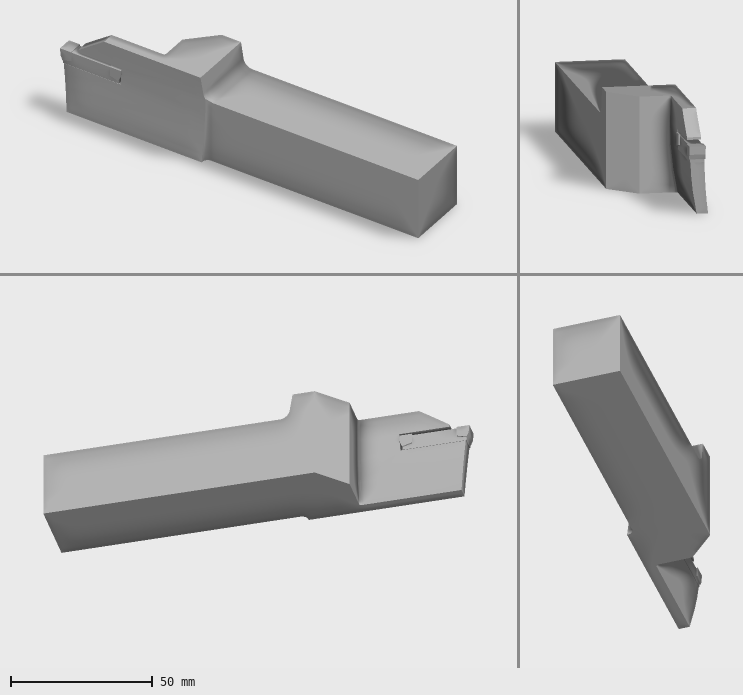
import cadquery as cq
import math

length = 150.0
shank_size = 25.0

head_height = 35.0
toe_x = 3.8
seat_front_x = 1.5
jaw_tip_x = 7.4
jaw_tip_height = 26.8
jaw_top_x = 18.6
head_top_end_x = 59.1
end_wall_lean = 9.0
top_blend_radius = 3.8
side_blend_radius = 2.2
side_blend_end_x = 62.8

cutting_height = shank_size
blade_front_y = -0.9
blade_back_y = 4.2
head_bottom_y = -2.7
blade_back_radius = 112.5
root_x = 41.0
root_chamfer = 10.0
root_fillet = 0.9

seat_height = 19.0
slot_height = 26.0
slot_end_top_x = 25.8
slot_end_bottom_x = 25.4

insert_top_end_x = 25.6
insert_nose_land_setback = 0.3
insert_nose_land_bottom = 22.0
insert_nose_setback = 1.0
insert_seat_setback = 1.2
insert_top_step = 0.3
insert_head_length = 4.6
insert_head_side = 21.3
insert_head_bottom = 20.2
insert_front_y = -1.2
insert_back_y = 4.6

margin = 7.5


def prism_along_y(points, y_start, y_end):
    """Extrude an XZ outline from y_start to y_end."""
    return (
        cq.Workplane("XZ", origin=(0, y_start, 0))
        .polyline(points).close()
        .extrude(-(y_end - y_start))
    )


def arc_offset(radius, height):
    """Distance the blade arc falls toward -Y at the given height."""
    rise = height - cutting_height
    return radius - math.sqrt(radius**2 - rise**2)


def make_head_block():
    """Side outline of the head, blended down onto the top of the shank."""
    lean = math.tan(math.radians(end_wall_lean))
    wall_foot_x = head_top_end_x + (head_height - shank_size) * lean
    foot_angle = math.radians(90 - end_wall_lean)
    tangent_length = top_blend_radius * math.tan(foot_angle / 2)
    wall_tangent = (
        wall_foot_x - tangent_length * math.sin(math.radians(end_wall_lean)),
        shank_size + tangent_length * math.cos(math.radians(end_wall_lean)),
    )
    blend_end_x = wall_foot_x + tangent_length
    blend_mid_angle = foot_angle / 2
    blend_mid = (
        blend_end_x - top_blend_radius * math.sin(blend_mid_angle),
        shank_size + top_blend_radius * (1 - math.cos(blend_mid_angle)),
    )
    return (
        cq.Workplane("XZ", origin=(0, -margin, 0))
        .moveTo(toe_x, 0)
        .lineTo(seat_front_x, seat_height)
        .lineTo(jaw_tip_x, seat_height)
        .lineTo(jaw_tip_x, jaw_tip_height)
        .lineTo(jaw_top_x, head_height)
        .lineTo(head_top_end_x, head_height)
        .lineTo(*wall_tangent)
        .threePointArc(blend_mid, (blend_end_x, shank_size))
        .lineTo(blend_end_x, 0)
        .close()
        .extrude(-(shank_size + margin))
    )


def make_head_plan():
    """Plan outline: rear corner chamfer and the side blend onto the shank."""
    wall_x = side_blend_end_x - side_blend_radius
    blend_drop = side_blend_radius * math.sqrt(0.5)
    plan_end_x = side_blend_end_x + margin
    return (
        cq.Workplane("XY")
        .moveTo(-margin, -margin)
        .lineTo(wall_x, -margin)
        .lineTo(wall_x, -side_blend_radius)
        .threePointArc(
            (side_blend_end_x - blend_drop, blend_drop - side_blend_radius),
            (side_blend_end_x, 0),
        )
        .lineTo(plan_end_x, 0)
        .lineTo(plan_end_x, shank_size)
        .lineTo(root_x + root_chamfer, shank_size)
        .lineTo(root_x, shank_size - root_chamfer)
        .lineTo(-margin, shank_size - root_chamfer)
        .close()
        .extrude(head_height)
    )


def make_front_section():
    """YZ section bounded by the concave front face."""
    sag = blade_front_y - head_bottom_y
    radius = (cutting_height**2 + sag**2) / (2 * sag)
    top_y = blade_front_y - arc_offset(radius, head_height)
    return (
        cq.Workplane("YZ", origin=(-margin, 0, 0))
        .moveTo(head_bottom_y, 0)
        .threePointArc((blade_front_y, cutting_height), (top_y, head_height))
        .lineTo(shank_size, head_height)
        .lineTo(shank_size, 0)
        .close()
        .extrude(length)
    )


def make_blade_relief():
    """Space behind the blade, rounded where it meets the root."""
    low = -margin
    high = head_height + margin
    low_y = blade_back_y - arc_offset(blade_back_radius, low)
    high_y = blade_back_y - arc_offset(blade_back_radius, high)
    relief = (
        cq.Workplane("YZ", origin=(-margin, 0, 0))
        .moveTo(low_y, low)
        .threePointArc((blade_back_y, cutting_height), (high_y, high))
        .lineTo(shank_size, high)
        .lineTo(shank_size, low)
        .close()
        .extrude(root_x + margin)
    )
    return relief.faces(">X").edges("<Y").fillet(root_fillet)


def make_slot():
    """Insert seat, open at the front, with the clamping gap above it."""
    outline = [
        (-margin, seat_height),
        (slot_end_bottom_x, seat_height),
        (slot_end_top_x, slot_height),
        (-margin, slot_height),
    ]
    return prism_along_y(outline, -margin, shank_size)


def make_holder():
    shank_start = root_x + root_chamfer
    shank = cq.Workplane("XY").box(
        length - shank_start, shank_size, shank_size, centered=False
    ).translate((shank_start, 0, 0))
    head = make_head_block().intersect(make_head_plan()).intersect(make_front_section())
    head = head.cut(make_blade_relief()).cut(make_slot())
    return head.union(shank)


def make_insert():
    """Double-ended insert: a slim bar with a wider cutting head at each end."""
    body_top = cutting_height - insert_top_step
    nose_break = (insert_nose_land_setback, insert_nose_land_bottom)
    nose_heel = (insert_nose_setback, insert_head_bottom)
    body_nose = [nose_break, nose_heel, (insert_seat_setback, seat_height)]
    body_tail = [(insert_top_end_x - x, z) for x, z in reversed(body_nose)]
    body_outline = [
        (insert_head_length, body_top),
        *body_nose,
        *body_tail,
        (insert_top_end_x - insert_head_length, body_top),
    ]
    head_outline = [
        (0, cutting_height),
        (insert_head_length, cutting_height),
        (insert_head_length, insert_head_side),
        nose_heel,
        nose_break,
    ]
    rear_outline = [(insert_top_end_x - x, z) for x, z in head_outline]
    insert = prism_along_y(body_outline, blade_front_y, blade_back_y)
    for outline in (head_outline, rear_outline):
        insert = insert.union(prism_along_y(outline, insert_front_y, insert_back_y))
    return insert


holder = make_holder()
insert = make_insert()
result = cq.Compound.makeCompound([holder.val(), insert.val()])